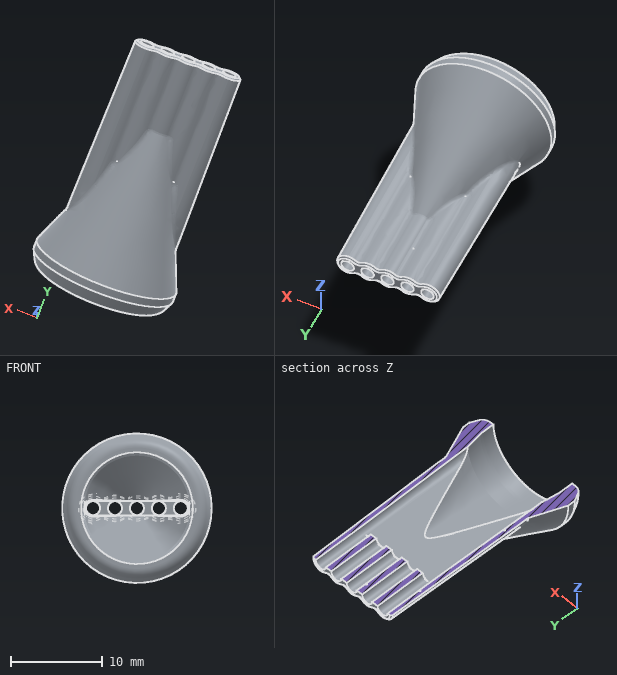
import cadquery as cq
import math

length = 27.92
body_diameter = 16.4
body_radius = body_diameter / 2
bevel_radius = 7.7
lip_radius = 6.65
bevel_start = 0.65
band_start = 1.68
band_end = 2.65
cone_half_angle = 22.1
cone_slope = math.tan(math.radians(cone_half_angle))
cone_apex = band_end + body_radius / cone_slope

mouth_radius = 6.11
mouth_depth = 1.65
mouth_blend_end = 2.07
seat_radius = 5.75
seat_depth = 4.3
cavity_apex = seat_depth + seat_radius / cone_slope
slot_floor = 20.95
slot_floor_radius = 0.75
slot_mouth_radius = 0.95

tube_count = 5
tube_pitch = 2.4
tube_hole = 1.5
tip_radius = 1.37
root_radius = 1.68
tube_root = 3.9
groove_round = 0.7
tip_chamfer = 0.22
joint_round = 0.55

tube_places = [(i - (tube_count - 1) / 2) * tube_pitch for i in range(tube_count)]


def section_plane(y):
    """Plane across the Y axis, with local x along X and local y along Z."""
    return cq.Plane(origin=(0, y, 0), xDir=(1, 0, 0), normal=(0, -1, 0))


def revolve_about_y(profile):
    return profile.close().revolve(360, (0, 0, 0), (0, 1, 0))


def make_cone():
    return revolve_about_y(
        cq.Workplane("XY")
        .moveTo(0, 0)
        .lineTo(lip_radius, 0)
        .tangentArcPoint((bevel_radius, bevel_start), relative=False)
        .lineTo(body_radius, band_start)
        .lineTo(body_radius, band_end)
        .lineTo(0, cone_apex)
    )


def row_outline(y, radius):
    """Scalloped outline of the tube row: tube crests joined by tangent grooves."""
    center_distance = radius + groove_round
    half_pitch = tube_pitch / 2
    groove_height = math.sqrt(center_distance**2 - half_pitch**2)
    tangent_x = radius * half_pitch / center_distance
    tangent_z = radius * groove_height / center_distance
    groove_bottom = groove_height - groove_round

    half_angle = math.asin(half_pitch / center_distance) / 2
    shoulder_x = radius * math.sin(half_angle)
    shoulder_z = radius * math.cos(half_angle)
    row_end = tube_places[-1]

    outline = cq.Workplane(section_plane(y)).moveTo(-row_end, radius)
    for side in (1, -1):
        arcs = [(-row_end + shoulder_x, shoulder_z), (-row_end + tangent_x, tangent_z)]
        for place in tube_places[1:]:
            arcs.append((place - half_pitch, groove_bottom))
            arcs.append((place - tangent_x, tangent_z))
            if place != row_end:
                arcs.append((place, radius))
                arcs.append((place + tangent_x, tangent_z))
        arcs += [(row_end - shoulder_x, shoulder_z), (row_end, radius)]
        arcs += [(row_end + radius, 0), (row_end, -radius)]
        for (mid_x, mid_z), (end_x, end_z) in zip(arcs[::2], arcs[1::2]):
            outline = outline.threePointArc((side * mid_x, side * mid_z), (side * end_x, side * end_z))
    return outline.close().wire().val()


def make_tube_row():
    row = cq.Solid.makeLoft(
        [row_outline(tube_root, root_radius), row_outline(length, tip_radius)], True
    )
    return cq.Workplane(row).faces(">Y").chamfer(tip_chamfer)


def slot_outline(y, radius):
    span = tube_places[-1] - tube_places[0]
    return cq.Workplane(section_plane(y)).slot2D(span + 2 * radius, 2 * radius).wires().val()


def make_cavity():
    seat_taper = math.atan2(mouth_radius - seat_radius, seat_depth - mouth_depth)
    blend_length = mouth_blend_end - mouth_depth
    blend_radius = mouth_radius - blend_length * math.tan(seat_taper / 2)
    hollow = revolve_about_y(
        cq.Workplane("XY")
        .moveTo(0, 0)
        .lineTo(mouth_radius, 0)
        .lineTo(mouth_radius, mouth_depth)
        .tangentArcPoint((blend_radius, mouth_blend_end), relative=False)
        .lineTo(seat_radius, seat_depth)
        .lineTo(0, cavity_apex)
    )
    slot = cq.Solid.makeLoft(
        [slot_outline(seat_depth, slot_mouth_radius), slot_outline(slot_floor, slot_floor_radius)],
        True,
    )
    return hollow.union(cq.Workplane(slot))


def make_holes():
    return (
        cq.Workplane(section_plane(length))
        .pushPoints([(place, 0) for place in tube_places])
        .circle(tube_hole / 2)
        .extrude(length - seat_depth)
    )


def make_outside():
    """Cone and tube row, with the crease where they meet rounded."""
    crease_zone = cq.selectors.BoxSelector(
        (-body_radius, band_end, -body_radius),
        (body_radius, cone_apex, body_radius),
        boundingbox=True,
    )
    return make_cone().union(make_tube_row()).edges(crease_zone).fillet(joint_round)


result = make_outside().cut(make_cavity()).cut(make_holes())